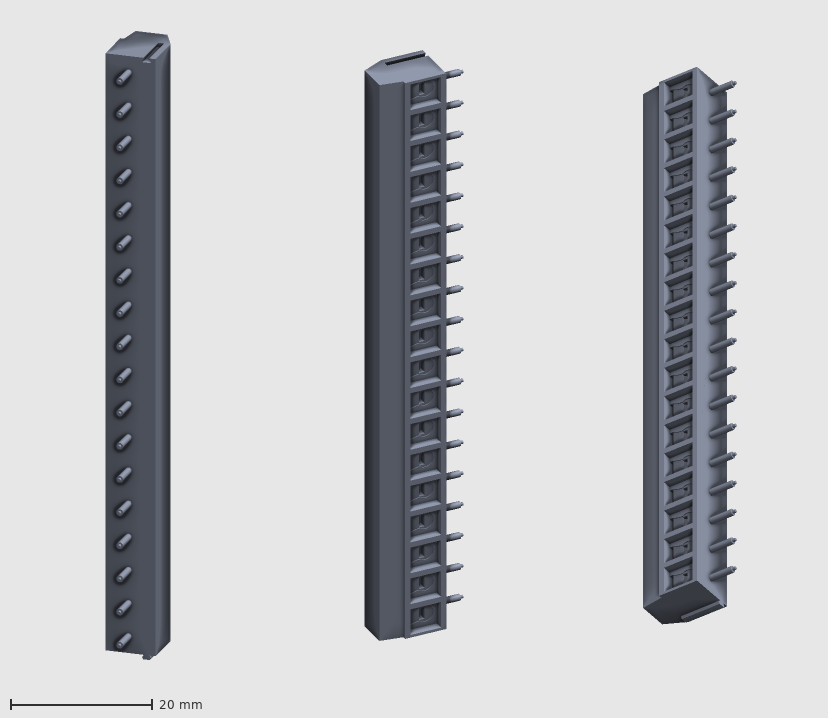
import cadquery as cq
import math

pole_count = 18
pitch = 5.0
length = pole_count * pitch
width = 7.5
height = 10.0

shelf_height = 6.5
shelf_depth = 0.55
top_left_x = 1.1
top_right_x = 5.85
slope_start_height = 6.6

dovetail_x = 6.15
dovetail_root_width = 0.85
dovetail_wide_width = 1.35
dovetail_depth = 0.68
tongue_end_width = 1.0
tongue_wide_depth = 0.4

window_bottom = 0.8
window_top = 5.66
window_height = 4.15
window_depth = 1.4

recess_depth = 0.15
screw_y = 2.65
screw_radius = 1.32
neck_y = 3.45
funnel_y = 5.13
funnel_half_width = 1.45
funnel_mid_y = 4.3
funnel_mid_half_width = 1.15
ramp_drop = 0.55

slot_bottom = 2.66
slot_top = 3.5
slot_length = 1.9
slot_shallow_depth = 0.4
slot_deep_depth = 1.2

pin_x = 3.45
pin_diameter = 1.0
pin_shoulder = 3.8
tip_diameter = 0.5
tip_length = 0.5
pin_embed = 0.5

window_floor = window_depth
recess_floor = window_floor + recess_depth
pole_heights = [(i + 0.5) * pitch for i in range(pole_count)]


def make_housing():
    outline = [
        (0, 0),
        (width, 0),
        (width, slope_start_height),
        (top_right_x, height),
        (top_left_x, height),
        (shelf_depth, shelf_height),
        (0, shelf_height),
    ]
    return cq.Workplane("XY").polyline(outline).close().extrude(length)


def make_mirrored_bar(half_outline):
    """Bar as tall as the shelf; half_outline lists (half width, z) from one end to the other."""
    right_side = [(dovetail_x + half_width, z) for half_width, z in half_outline]
    left_side = [(dovetail_x - half_width, z) for half_width, z in reversed(half_outline)]
    return cq.Workplane("XZ").polyline(right_side + left_side).close().extrude(-shelf_height)


def make_groove():
    return make_mirrored_bar(
        [(dovetail_root_width / 2, length), (dovetail_wide_width / 2, length - dovetail_depth)]
    )


def make_tongue():
    """Dovetail tongue whose outer edges are bevelled towards its end."""
    return make_mirrored_bar(
        [
            (dovetail_root_width / 2, 0),
            (dovetail_wide_width / 2, -tongue_wide_depth),
            (tongue_end_width / 2, -dovetail_depth),
        ]
    )


def make_prism(outline, half_height):
    """Prism along Z from an outline in X and Y, centred on z = 0."""
    return cq.Workplane("XY").polyline(outline).close().extrude(half_height, both=True)


def make_window():
    outline = [
        (0, window_bottom),
        (window_floor, window_bottom),
        (window_floor, window_top),
        (0, window_top),
    ]
    return make_prism(outline, window_height / 2)


def make_keyhole():
    """Keyhole-shaped recess, from the window floor inwards."""
    neck_half_width = math.sqrt(screw_radius**2 - (neck_y - screw_y) ** 2)
    return (
        cq.Workplane("YZ", origin=(window_floor, 0, 0))
        .moveTo(window_top, -funnel_half_width)
        .lineTo(funnel_y, -funnel_half_width)
        .threePointArc((funnel_mid_y, -funnel_mid_half_width), (neck_y, -neck_half_width))
        .threePointArc((screw_y - screw_radius, 0), (neck_y, neck_half_width))
        .threePointArc((funnel_mid_y, funnel_mid_half_width), (funnel_y, funnel_half_width))
        .lineTo(window_top, funnel_half_width)
        .close()
        .extrude(recess_depth)
    )


def make_ramp():
    """Wedge at the +Y end of the funnel, where the recess floor drops away from the window."""
    outline = [
        (window_floor, funnel_y),
        (recess_floor, funnel_y),
        (recess_floor + ramp_drop, window_top),
        (window_floor, window_top),
    ]
    return make_prism(outline, funnel_half_width)


def make_slot():
    outline = [
        (window_floor, slot_bottom),
        (recess_floor + slot_deep_depth, slot_bottom),
        (recess_floor + slot_shallow_depth, slot_top),
        (window_floor, slot_top),
    ]
    return make_prism(outline, slot_length / 2)


def make_pole_cavity():
    return make_window().union(make_keyhole()).union(make_ramp()).union(make_slot())


def make_pin():
    """Pin along -Y at z = 0, from inside the housing to the tip."""
    base = cq.Workplane("XZ", origin=(pin_x, pin_embed, 0))
    shank = base.circle(pin_diameter / 2).extrude(pin_embed + pin_shoulder)
    return shank.faces("<Y").workplane().circle(tip_diameter / 2).extrude(tip_length)


def repeat_at_poles(shape):
    return [shape.val().translate(cq.Vector(0, 0, z)) for z in pole_heights]


housing = make_housing().cut(make_groove()).union(make_tongue())
cavities = cq.Workplane("XY").newObject(repeat_at_poles(make_pole_cavity()))
pins = cq.Workplane("XY").newObject(repeat_at_poles(make_pin()))

body = housing.val().cut(*cavities.vals())
result = cq.Workplane("XY").newObject([body.fuse(*pins.vals())])